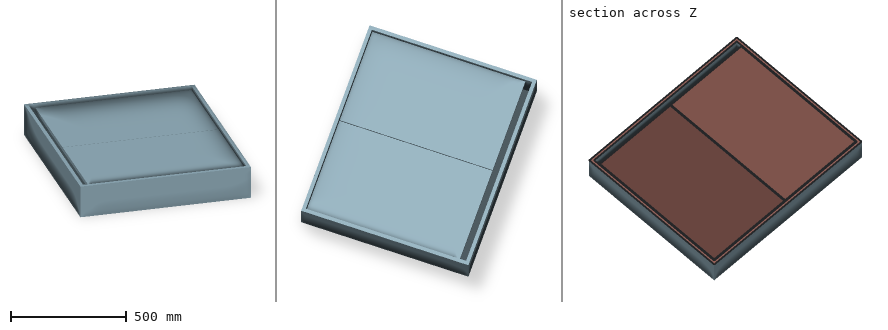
import cadquery as cq

case_length = 900.0
case_width = 763.0
case_height = 145.0
wall = 16.0
floor_thickness = wall

door_thickness = wall
door_recess = 14.0
door_gap = 3.0
front_opening = 30.0

inner_length = case_length - 2 * wall
inner_width = case_width - 2 * wall

door_length = (inner_length - 3 * door_gap) / 2
door_width = inner_width - front_opening - door_gap
door_center_y = (front_opening - door_gap) / 2
door_bottom_z = case_height - door_recess - door_thickness


def make_case():
    """Rectangular tray with a solid floor and four walls."""
    block = cq.Workplane("XY").box(case_length, case_width, case_height, centered=(True, True, False))
    cavity = (
        cq.Workplane("XY")
        .workplane(offset=floor_thickness)
        .rect(inner_length, inner_width)
        .extrude(case_height - floor_thickness)
    )
    return block.cut(cavity)


def make_door(center_x):
    """Flat door panel, recessed below the rim and clear of the walls."""
    return (
        cq.Workplane("XY")
        .workplane(offset=door_bottom_z)
        .center(center_x, door_center_y)
        .rect(door_length, door_width)
        .extrude(door_thickness)
    )


case = make_case()

doors = []
for side in (-1, 1):
    door = make_door(side * (door_length + door_gap) / 2)
    doors.append(door.val())

result = cq.Compound.makeCompound([case.val(), *doors])